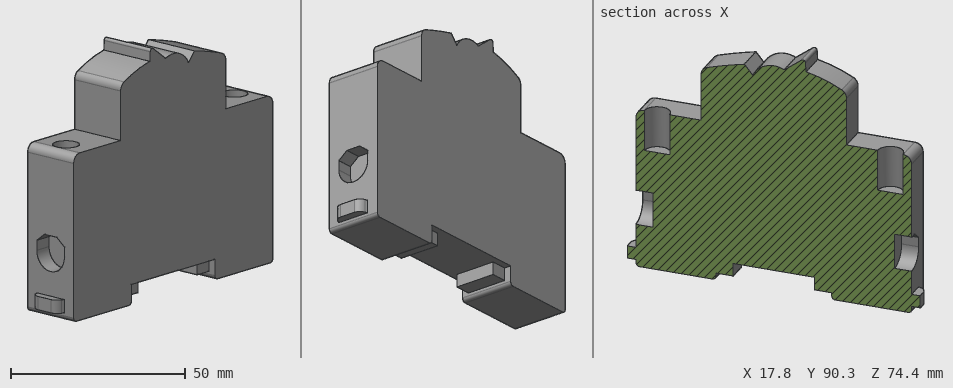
import cadquery as cq
import math

width = 17.8
body_length = 85.1
shoulder_height = 49.9
height = 74.4
overall_length = 90.3
half_length = body_length / 2

recess_half_length = 17.8
recess_depth = 6.05
foot_radius = 1.2
shoulder_radius = 2.6

nose_half_length = 22.5
nose_corner_radius = 2.7
crown_base_height = 66.2
front_crown_end = (-10.0, 70.8)
front_crown_mid = (-15.7, 69.3)
back_crown_end = (9.0, 69.9)
back_crown_mid = (15.35, 68.4)

notch_bottom = (6.5, 66.9)
barrel_top = (0.1, 71.0)
lever_root = (-3.25, 70.3)
lever_tip_radius = 0.8
lever_tip_y = -9.0
lever_slope_angle = math.radians(39)

clip_bottom = 2.1
clip_root_half_width = 5.3
clip_side_half_width = 5.0
clip_side_reach = 0.8
clip_flat_half_width = 2.5
clip_arc_mid = (4.15, 44.5)
clip_inner_width = 13.4
clip_inner_reach = 5.2

screw_hole_diameter = 7.7
screw_hole_y = 35.95
screw_hole_depth = 12.6

entry_radius = 5.3
entry_center_z = 18.7
entry_flat_half_width = 2.35
entry_side_rise = 3.0
entry_depth = 5.2


def corner_mid(center_y, center_z, radius, side):
    """Midpoint of a quarter arc rounding an upper outer corner."""
    step = radius * math.sqrt(0.5)
    return (center_y + side * step, center_z + step)


def make_housing():
    shoulder_y = half_length - shoulder_radius
    shoulder_z = shoulder_height - shoulder_radius
    tip_z = height - lever_tip_radius
    slope_end = (lever_tip_y + lever_tip_radius * math.sin(lever_slope_angle),
                 tip_z + lever_tip_radius * math.cos(lever_slope_angle))
    profile = (
        cq.Workplane("YZ")
        .moveTo(-half_length, 0)
        .lineTo(-half_length, shoulder_z)
        .threePointArc(corner_mid(-shoulder_y, shoulder_z, shoulder_radius, -1),
                       (-shoulder_y, shoulder_height))
        .lineTo(-nose_half_length, shoulder_height)
        .lineTo(-nose_half_length, crown_base_height)
        .threePointArc(front_crown_mid, front_crown_end)
        .lineTo(lever_tip_y - lever_tip_radius, tip_z)
        .threePointArc((lever_tip_y, height), slope_end)
        .lineTo(*lever_root)
        .threePointArc(barrel_top, notch_bottom)
        .lineTo(*back_crown_end)
        .threePointArc(back_crown_mid, (nose_half_length, crown_base_height))
        .lineTo(nose_half_length, shoulder_height)
        .lineTo(shoulder_y, shoulder_height)
        .threePointArc(corner_mid(shoulder_y, shoulder_z, shoulder_radius, 1),
                       (half_length, shoulder_z))
        .lineTo(half_length, 0)
        .lineTo(recess_half_length, 0)
        .lineTo(recess_half_length, recess_depth)
        .lineTo(-recess_half_length, recess_depth)
        .lineTo(-recess_half_length, 0)
        .close()
    )
    housing = profile.extrude(width / 2, both=True)
    for side in (-1, 1):
        corner = cq.selectors.NearestToPointSelector((0, side * nose_half_length, crown_base_height))
        housing = housing.edges(corner).fillet(nose_corner_radius)
    return housing.edges("|X and <Z").fillet(foot_radius)


def make_clips():
    clip_height = recess_depth - clip_bottom
    bottom = cq.Workplane("XY").workplane(offset=clip_bottom)
    tip_y = overall_length / 2
    side_y = half_length + clip_side_reach
    arc_x, arc_y = clip_arc_mid
    end = (
        bottom.moveTo(clip_root_half_width, half_length)
        .lineTo(clip_side_half_width, side_y)
        .threePointArc((arc_x, arc_y), (clip_flat_half_width, tip_y))
        .lineTo(-clip_flat_half_width, tip_y)
        .threePointArc((-arc_x, arc_y), (-clip_side_half_width, side_y))
        .lineTo(-clip_root_half_width, half_length)
        .close()
        .extrude(clip_height)
    )
    inner_y = recess_half_length - clip_inner_reach / 2
    inner = (
        bottom.pushPoints([(0, -inner_y), (0, inner_y)])
        .rect(clip_inner_width, clip_inner_reach)
        .extrude(clip_height)
    )
    return end.union(end.mirror("XZ")).union(inner)


def make_screw_holes():
    return (
        cq.Workplane("XY", origin=(0, 0, shoulder_height))
        .pushPoints([(0, -screw_hole_y), (0, screw_hole_y)])
        .circle(screw_hole_diameter / 2)
        .extrude(-screw_hole_depth)
    )


def make_wire_entry():
    return (
        cq.Workplane("XZ", origin=(0, -half_length, entry_center_z))
        .moveTo(-entry_radius, 0)
        .threePointArc((0, -entry_radius), (entry_radius, 0))
        .lineTo(entry_radius, entry_side_rise)
        .lineTo(entry_flat_half_width, entry_radius)
        .lineTo(-entry_flat_half_width, entry_radius)
        .lineTo(-entry_radius, entry_side_rise)
        .close()
        .extrude(-entry_depth)
    )


wire_entry = make_wire_entry()
result = (
    make_housing()
    .union(make_clips())
    .cut(make_screw_holes())
    .cut(wire_entry)
    .cut(wire_entry.mirror("XZ"))
)